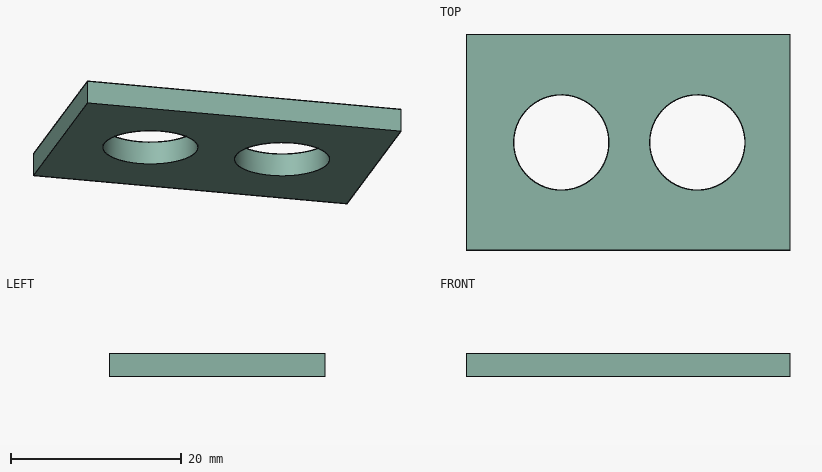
import cadquery as cq

plate_length = 38.1
plate_width = 25.4
plate_thickness = 2.75

hole_diameter = 11.18
hole_spacing = 16.0
hole_pair_offset = 0.125


def make_plate():
    """Rectangular plate centred on the origin."""
    return cq.Workplane("XY").box(plate_length, plate_width, plate_thickness)


def cut_holes(plate):
    """Cut the pair of through holes on the plate's X centre line."""
    hole_centres = [
        (hole_pair_offset - hole_spacing / 2, 0),
        (hole_pair_offset + hole_spacing / 2, 0),
    ]
    return plate.faces(">Z").workplane().pushPoints(hole_centres).hole(hole_diameter)


result = cut_holes(make_plate())